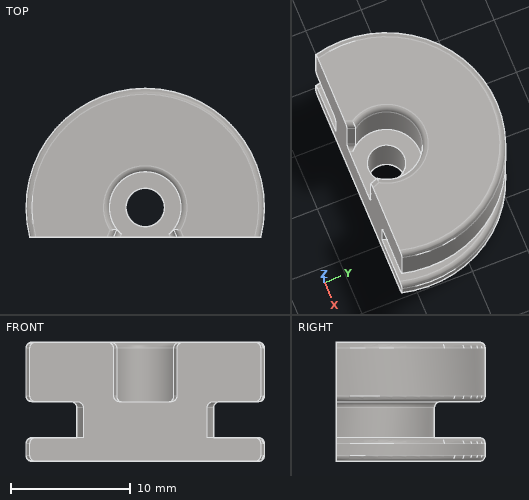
import cadquery as cq
import math

disc_radius = 10.0
flat_distance = 2.5
lower_flange_height = 2.0
groove_height = 3.0
upper_flange_height = 5.0
groove_radius = 5.75
edge_radius = 0.5

bore_radius = 3.0
hole_diameter = 3.2
mouth_half_width = 2.66
mouth_wall_angle = 22.5

groove_top = lower_flange_height + groove_height
total_height = groove_top + upper_flange_height
pocket_floor = groove_top
pocket_depth = total_height - pocket_floor
selection_margin = 0.05


def make_grooved_disc():
    """Revolve the flanges and the groove, then round their edges."""
    profile = (
        cq.Workplane("XZ")
        .lineTo(disc_radius, 0)
        .lineTo(disc_radius, lower_flange_height)
        .lineTo(groove_radius, lower_flange_height)
        .lineTo(groove_radius, groove_top)
        .lineTo(disc_radius, groove_top)
        .lineTo(disc_radius, total_height)
        .lineTo(0, total_height)
        .close()
    )
    disc = profile.revolve(360, (0, 0, 0), (0, 1, 0))
    rim_edges = disc.edges(cq.selectors.RadiusNthSelector(1))
    groove_top_edge = disc.edges(cq.selectors.RadiusNthSelector(0)).edges(">Z")
    return disc.newObject(rim_edges.vals() + groove_top_edge.vals()).fillet(edge_radius)


def make_mouth():
    """Flared channel from the bore out past the flat face, with rounded floor corners."""
    flare = math.tan(math.radians(mouth_wall_angle))
    outer_y = -flat_distance - edge_radius
    outer_half_width = mouth_half_width + flare * edge_radius
    inner_half_width = mouth_half_width - flare * flat_distance
    channel = (
        cq.Workplane("XY", origin=(0, 0, pocket_floor))
        .moveTo(-inner_half_width, 0)
        .lineTo(-outer_half_width, outer_y)
        .lineTo(outer_half_width, outer_y)
        .lineTo(inner_half_width, 0)
        .close()
        .extrude(pocket_depth)
    )
    side_walls = channel.faces("<X or >X")
    return side_walls.edges("<Z").fillet(edge_radius)


def cut_flat(body):
    """Remove everything on the -Y side of the flat face."""
    offcut_depth = disc_radius - flat_distance
    offcut = cq.Workplane("XY").box(
        2 * disc_radius, offcut_depth, total_height, centered=(True, False, False)
    )
    return body.cut(offcut.translate((0, -disc_radius, 0)))


def cut_pocket(body):
    """Cut the bore with its mouth and round the rim of both at the top face."""
    bore = (
        cq.Workplane("XY", origin=(0, 0, pocket_floor))
        .circle(bore_radius)
        .extrude(pocket_depth)
    )
    body = body.cut(bore.union(make_mouth()))
    reach = bore_radius + edge_radius
    rim_zone = cq.selectors.BoxSelector(
        (-reach, -flat_distance - selection_margin, total_height - selection_margin),
        (reach, reach, total_height + selection_margin),
    )
    return body.edges(rim_zone).fillet(edge_radius)


def cut_hole(body):
    """Drill the axial hole through the floor of the pocket."""
    hole = cq.Workplane("XY").circle(hole_diameter / 2).extrude(total_height)
    return body.cut(hole)


result = cut_hole(cut_flat(cut_pocket(make_grooved_disc())))